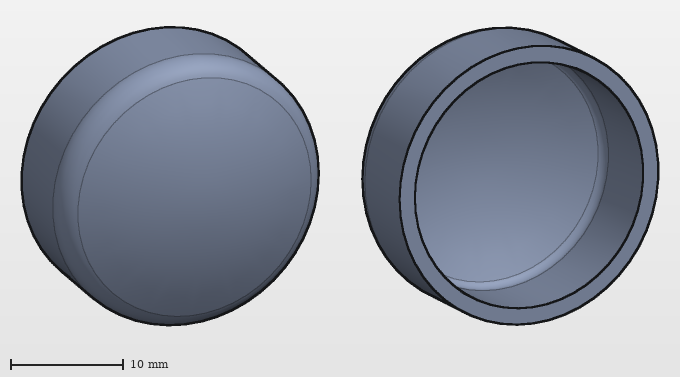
import cadquery as cq
import math

outer_diameter = 25.4
wall = 1.5
side_length = 7.3
dome_radius = 27.5
shoulder_radius = 2.5

outer_radius = outer_diameter / 2
shoulder_centre_r = outer_radius - shoulder_radius
tangent_angle = math.asin(shoulder_centre_r / (dome_radius - shoulder_radius))
dome_centre_x = side_length - (dome_radius - shoulder_radius) * math.cos(tangent_angle)


def point_on_arc(centre_x, centre_r, radius, angle):
    """Point at an angle measured from the +X axis, as (x, r)."""
    return (centre_x + radius * math.cos(angle), centre_r + radius * math.sin(angle))


def domed_body(inset):
    """Solid of revolution whose surface lies the given inset inside the outer skin."""
    side_radius = outer_radius - inset
    crown = dome_radius - inset
    shoulder = shoulder_radius - inset
    shoulder_mid_angle = (tangent_angle + math.pi / 2) / 2
    profile = (
        cq.Workplane("XY")
        .lineTo(0, side_radius)
        .lineTo(side_length, side_radius)
        .threePointArc(
            point_on_arc(side_length, shoulder_centre_r, shoulder, shoulder_mid_angle),
            point_on_arc(dome_centre_x, 0, crown, tangent_angle),
        )
        .threePointArc(
            point_on_arc(dome_centre_x, 0, crown, tangent_angle / 2),
            (dome_centre_x + crown, 0),
        )
        .close()
    )
    return profile.revolve(360, (0, 0, 0), (1, 0, 0))


result = domed_body(0).cut(domed_body(wall))